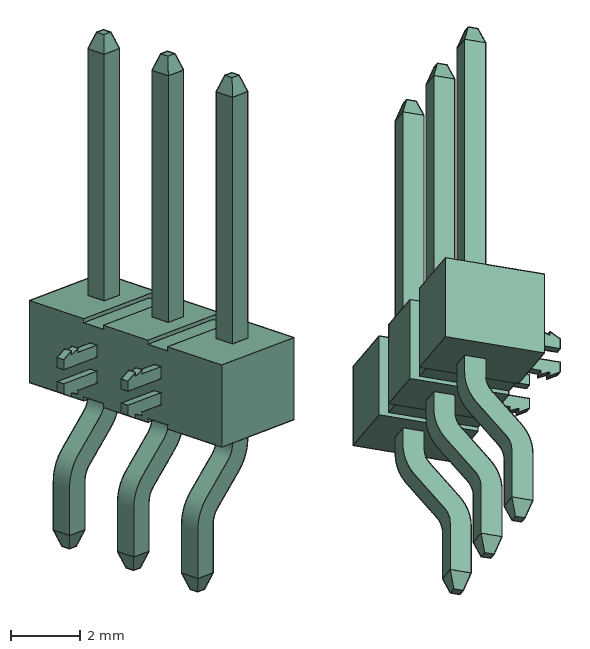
import cadquery as cq
import math

POLES = 3
PITCH = 2.54

HOUSING_LENGTH = POLES * PITCH
HOUSING_HEIGHT = 2.54
HOUSING_BACK = 1.27
HOUSING_FRONT = 1.78
HOUSING_DEPTH = HOUSING_BACK + HOUSING_FRONT

GROOVE_WIDTH = 0.77
GROOVE_DEPTH = 0.12
GROOVE_BACK_DEPTH = 0.3

PIN_WIDTH = 0.65
PIN_TOP = HOUSING_HEIGHT + 8.13
PIN_HEIGHT = 15.49
PIN_BOTTOM = PIN_TOP - PIN_HEIGHT
TIP_LENGTH = 0.51
TIP_END_WIDTH = 0.3
BEND_START = -0.55
BEND_INNER_RADIUS = 0.62
BEND_ANGLE = math.radians(45)

CLIP_WIDTH = 0.26
CLIP_REACH = 1.4
CLIP_BURIED_DEPTH = 0.77
PRONG_INNER = 0.22
PRONG_OUTER = 0.59
WEB_THICKNESS = PRONG_OUTER - PRONG_INNER
BARB_PEAK = 0.71
PRONG_END = 0.53
FIRST_BARB = 0.79
FIRST_BARB_END = 1.02
SECOND_BARB = 1.07
BARB_ROOT = 0.6


def centred_places(count):
    """X places of a row of items spaced at the pitch and centred on X = 0."""
    return [(i - (count - 1) / 2) * PITCH for i in range(count)]


def make_pin_tip(x, y, z, direction):
    """Tapered pin end that starts at height z and points up (1) or down (-1)."""
    return (
        cq.Workplane("XY", origin=(x, y, z))
        .rect(PIN_WIDTH, PIN_WIDTH)
        .workplane(offset=direction * TIP_LENGTH)
        .rect(TIP_END_WIDTH, TIP_END_WIDTH)
        .loft(ruled=True)
    )


def make_pin(x):
    """Square pin with a tail that jogs forward until it is flush with the housing front."""
    shank_top = PIN_TOP - TIP_LENGTH
    tail_bottom = PIN_BOTTOM + TIP_LENGTH
    tail_y = PIN_WIDTH / 2 - HOUSING_FRONT

    radius = BEND_INNER_RADIUS + PIN_WIDTH / 2
    bend_shift = radius * (1 - math.cos(BEND_ANGLE))
    bend_drop = radius * math.sin(BEND_ANGLE)
    half_shift = radius * (1 - math.cos(BEND_ANGLE / 2))
    half_drop = radius * math.sin(BEND_ANGLE / 2)
    slope_drop = (-tail_y - 2 * bend_shift) / math.tan(BEND_ANGLE)
    bend_end = BEND_START - 2 * bend_drop - slope_drop

    path = (
        cq.Workplane("YZ", origin=(x, 0, 0))
        .moveTo(0, shank_top)
        .lineTo(0, BEND_START)
        .threePointArc((-half_shift, BEND_START - half_drop), (-bend_shift, BEND_START - bend_drop))
        .lineTo(tail_y + bend_shift, bend_end + bend_drop)
        .threePointArc((tail_y + half_shift, bend_end + half_drop), (tail_y, bend_end))
        .lineTo(tail_y, tail_bottom)
    )
    shank = cq.Workplane("XY", origin=(x, 0, shank_top)).rect(PIN_WIDTH, PIN_WIDTH).sweep(path)
    top_tip = make_pin_tip(x, 0, shank_top, 1)
    bottom_tip = make_pin_tip(x, tail_y, tail_bottom, -1)
    return shank.union(top_tip).union(bottom_tip)


def make_housing_section(x, width, inset, back_inset):
    """Block of the housing with its front flush and its top, underside and back set in."""
    return cq.Workplane("XY", origin=(x, -HOUSING_FRONT, inset)).box(
        width, HOUSING_DEPTH - back_inset, HOUSING_HEIGHT - 2 * inset, centered=(True, False, False)
    )


def make_header():
    """Grooved housing in one with its pins, recessed for the clips."""
    header = make_housing_section(0, HOUSING_LENGTH, 0, 0)
    for x in centred_places(POLES - 1):
        groove = make_housing_section(x, GROOVE_WIDTH, 0, 0)
        groove = groove.cut(make_housing_section(x, GROOVE_WIDTH, GROOVE_DEPTH, GROOVE_BACK_DEPTH))
        header = header.cut(groove)
    for x in centred_places(POLES):
        header = header.union(make_pin(x))
    for x in centred_places(POLES - 1):
        header = header.cut(make_clip(x))
    return header.solids()


def make_clip(x):
    """U-shaped clip whose barbed prongs stand out of the housing front."""
    web_front = WEB_THICKNESS - CLIP_BURIED_DEPTH

    upper_side = [
        (web_front, PRONG_INNER),
        (CLIP_REACH, PRONG_INNER),
        (CLIP_REACH, PRONG_END),
        (SECOND_BARB, BARB_PEAK),
        (SECOND_BARB, BARB_ROOT),
        (FIRST_BARB_END, BARB_ROOT),
        (FIRST_BARB, BARB_PEAK),
        (FIRST_BARB, PRONG_OUTER),
        (-CLIP_BURIED_DEPTH, PRONG_OUTER),
    ]
    lower_side = [(reach, -height) for reach, height in reversed(upper_side)]
    outline = [(-reach, height) for reach, height in upper_side + lower_side]
    return (
        cq.Workplane("YZ", origin=(x, -HOUSING_FRONT, HOUSING_HEIGHT / 2))
        .polyline(outline)
        .close()
        .extrude(CLIP_WIDTH / 2, both=True)
        .solids()
    )


header = make_header()
clips = [make_clip(x) for x in centred_places(POLES - 1)]

result = cq.Compound.makeCompound([header.val(), *[clip.val() for clip in clips]])